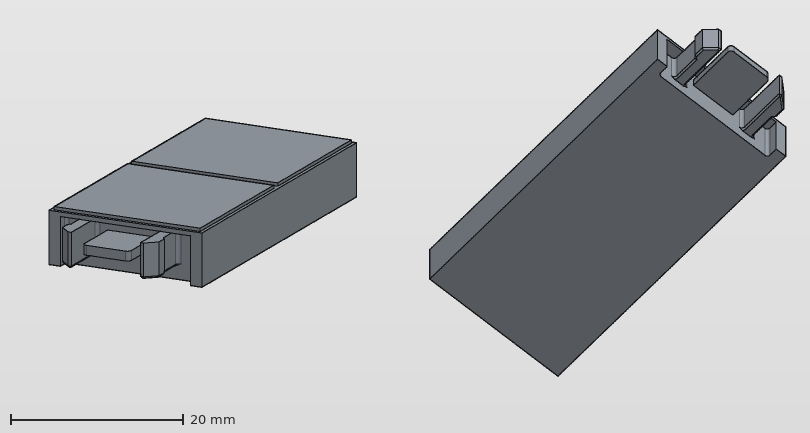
import cadquery as cq

body_width = 19.9
body_length = 39.9
total_height = 7.0
pad_thickness = 0.4
body_height = total_height - pad_thickness
front_y = -body_length / 2

pad_size = 19.0
pad_pitch = 20.0

recess_side_wall = 1.5
recess_roof = 0.55
recess_depth = 1.5
recess_corner_radius = 0.4
recess_width = body_width - 2 * recess_side_wall
recess_height = body_height - recess_roof
recess_back_y = front_y + recess_depth

reach = 5.0
tip_y = front_y - reach
root_embed = 1.0

tab_width = 6.1
tab_thickness = 1.2
tab_bottom_z = 3.55
tab_corner_radius = 0.5

arm_inner_x = 4.5
arm_outer_x = 6.0
arm_bottom_z = 1.7
arm_chamfer_height = 0.25
arm_chamfer_inset = 0.2
arm_root_radius = 0.45
hook_overhang = 0.3
hook_start = 2.1
hook_straight_end = 3.75
arm_tip_width = 0.4


def make_body():
    """Block with the front recess cut out of it."""
    block = cq.Workplane("XY").box(body_width, body_length, body_height, centered=(True, True, False))
    recess = (
        cq.Workplane("XY")
        .box(recess_width, recess_depth, recess_height, centered=(True, False, False))
        .edges("|Z and >Y")
        .fillet(recess_corner_radius)
        .translate((0, front_y, 0))
    )
    return block.cut(recess)


def make_pads():
    """Two square pads on the top face."""
    return (
        cq.Workplane("XY")
        .workplane(offset=body_height)
        .rarray(1, pad_pitch, 1, 2)
        .rect(pad_size, pad_size)
        .extrude(pad_thickness)
    )


def make_tab():
    """Flat tab with rounded front corners."""
    tab_length = recess_back_y + root_embed - tip_y
    return (
        cq.Workplane("XY")
        .box(tab_width, tab_length, tab_thickness, centered=(True, False, False))
        .edges("|Z and <Y")
        .fillet(tab_corner_radius)
        .translate((0, tip_y, tab_bottom_z))
    )


def make_arm():
    """Snap arm on the +X side, flared at its root and chamfered round its bottom face."""
    hook_x = arm_outer_x + hook_overhang
    step_start_y = front_y - hook_start
    step_end_y = step_start_y - hook_overhang
    flare_start_y = recess_back_y - arm_root_radius
    flare_inner_x = arm_inner_x - arm_root_radius
    flare_outer_x = arm_outer_x + arm_root_radius
    embedded_y = recess_back_y + root_embed
    return (
        cq.Workplane("XY")
        .workplane(offset=arm_bottom_z)
        .moveTo(arm_inner_x, tip_y)
        .lineTo(arm_inner_x + arm_tip_width, tip_y)
        .lineTo(hook_x, front_y - hook_straight_end)
        .lineTo(hook_x, step_end_y)
        .lineTo(arm_outer_x, step_start_y)
        .lineTo(arm_outer_x, flare_start_y)
        .radiusArc((flare_outer_x, recess_back_y), arm_root_radius)
        .lineTo(flare_outer_x, embedded_y)
        .lineTo(flare_inner_x, embedded_y)
        .lineTo(flare_inner_x, recess_back_y)
        .radiusArc((arm_inner_x, flare_start_y), arm_root_radius)
        .close()
        .extrude(recess_height - arm_bottom_z)
        .faces("<Z")
        .chamfer(arm_chamfer_height, arm_chamfer_inset)
    )


arm = make_arm()
result = make_body().union(make_pads()).union(make_tab()).union(arm).union(arm.mirror("YZ"))